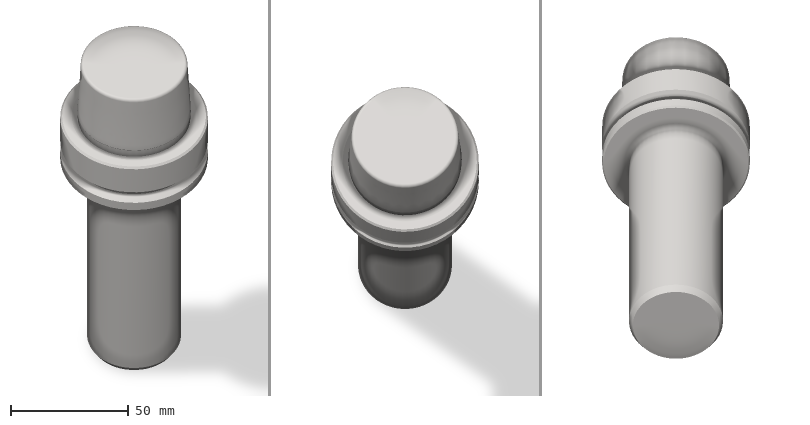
import cadquery as cq
import math

TOTAL_LENGTH = 166.9
TAPER_LENGTH = 28.7
FACE_DEPTH = 32.0
FLANGE_THICKNESS = 26.0
GROOVE_TOP_DEPTH = 14.7
GROOVE_WIDTH = 6.3

FLANGE_RADIUS = 63.0 / 2
SHANK_RADIUS = 20.0
TAPER_TOP_RADIUS = 22.7
TAPER_BASE_RADIUS = 24.2
NECK_RADIUS = 24.0
RECESS_FLOOR_RADIUS = 24.4
RECESS_RADIUS = 26.5
GROOVE_RADIUS = 27.5

TOP_ROUND = 1.3
FLANGE_TOP_CHAMFER = 0.8
FLANGE_BOTTOM_CHAMFER = 0.7
GROOVE_CONE_WIDTH = 2.3
GROOVE_CONE_ANGLE = 30.0
RECESS_DEPTH = 0.7
SHOULDER_HEIGHT = 0.3
SHANK_FILLET = 2.0
END_CHAMFER_WIDTH = 1.7
END_CHAMFER_ANGLE = 60.0

taper_base_z = TOTAL_LENGTH - TAPER_LENGTH
face_z = TOTAL_LENGTH - FACE_DEPTH
flange_bottom_z = face_z - FLANGE_THICKNESS
groove_top_z = face_z - GROOVE_TOP_DEPTH
groove_bottom_z = groove_top_z - GROOVE_WIDTH
groove_step_radius = FLANGE_RADIUS - GROOVE_CONE_WIDTH
groove_cone_height = GROOVE_CONE_WIDTH * math.tan(math.radians(GROOVE_CONE_ANGLE))
end_chamfer_height = END_CHAMFER_WIDTH * math.tan(math.radians(END_CHAMFER_ANGLE))

fillet_inset = SHANK_FILLET * (1 - math.sqrt(0.5))
fillet_middle = (SHANK_RADIUS + fillet_inset, flange_bottom_z - fillet_inset)

profile = (
    cq.Workplane("XZ")
    .lineTo(SHANK_RADIUS - END_CHAMFER_WIDTH, 0)
    .lineTo(SHANK_RADIUS, end_chamfer_height)
    .lineTo(SHANK_RADIUS, flange_bottom_z - SHANK_FILLET)
    .threePointArc(fillet_middle, (SHANK_RADIUS + SHANK_FILLET, flange_bottom_z))
    .lineTo(FLANGE_RADIUS - FLANGE_BOTTOM_CHAMFER, flange_bottom_z)
    .lineTo(FLANGE_RADIUS, flange_bottom_z + FLANGE_BOTTOM_CHAMFER)
    .lineTo(FLANGE_RADIUS, groove_bottom_z)
    .lineTo(groove_step_radius, groove_bottom_z + groove_cone_height)
    .lineTo(GROOVE_RADIUS, groove_bottom_z + groove_cone_height)
    .lineTo(GROOVE_RADIUS, groove_top_z - groove_cone_height)
    .lineTo(groove_step_radius, groove_top_z - groove_cone_height)
    .lineTo(FLANGE_RADIUS, groove_top_z)
    .lineTo(FLANGE_RADIUS, face_z - FLANGE_TOP_CHAMFER)
    .lineTo(FLANGE_RADIUS - FLANGE_TOP_CHAMFER, face_z)
    .lineTo(RECESS_RADIUS, face_z)
    .lineTo(RECESS_FLOOR_RADIUS, face_z - RECESS_DEPTH)
    .lineTo(NECK_RADIUS, face_z - RECESS_DEPTH)
    .lineTo(NECK_RADIUS, taper_base_z - SHOULDER_HEIGHT)
    .lineTo(TAPER_BASE_RADIUS, taper_base_z)
    .lineTo(TAPER_TOP_RADIUS, TOTAL_LENGTH)
    .lineTo(0, TOTAL_LENGTH)
    .close()
)

body = profile.revolve(360, (0, 0, 0), (0, 1, 0))
result = body.faces(">Z").edges().fillet(TOP_ROUND)